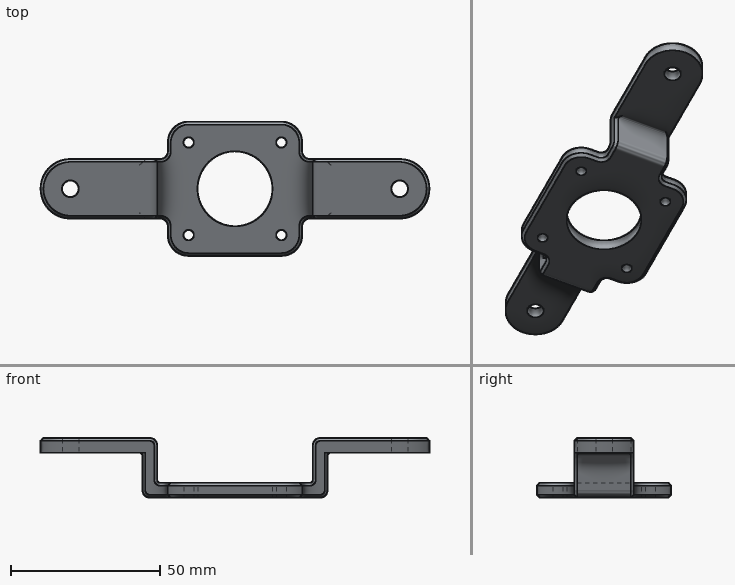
import cadquery as cq

length = 130.2
thickness = 5.0
height = 20.0

plate_side = 45.0
plate_corner_radius = 7.0
bore_diameter = 25.0
screw_spacing = 31.0
screw_hole_diameter = 3.4

arm_width = 20.0
arm_hole_diameter = 5.5
wall_outer_x = 31.0
arm_root_radius = 2.5

outer_bend_radius = 2.5
inner_bend_radius = 1.0
edge_break = 1.0

half_length = length / 2
wall_inner_x = wall_outer_x - thickness
arm_hole_x = half_length - arm_width / 2
arm_underside = height - thickness
half_spacing = screw_spacing / 2


def bend_edges(x, z):
    """Select the pair of bend lines, parallel to Y, at +x and -x."""
    left = cq.selectors.NearestToPointSelector((-x, 0, z))
    right = cq.selectors.NearestToPointSelector((x, 0, z))
    return cq.selectors.SumSelector(left, right)


def hat_profile():
    """Constant-thickness hat section, extruded across the plate width."""
    half = [
        (wall_outer_x, 0),
        (wall_outer_x, arm_underside),
        (half_length, arm_underside),
        (half_length, height),
        (wall_inner_x, height),
        (wall_inner_x, thickness),
    ]
    mirrored = [(-x, z) for x, z in reversed(half)]
    hat = cq.Workplane("XZ").polyline(half + mirrored).close().extrude(plate_side / 2, both=True)
    hat = hat.edges(bend_edges(wall_outer_x, 0)).fillet(outer_bend_radius)
    hat = hat.edges(bend_edges(wall_inner_x, height)).fillet(outer_bend_radius)
    return hat.edges(bend_edges(wall_inner_x, thickness)).fillet(inner_bend_radius)


def plan_outline():
    """Rounded square plate blended into a long round-ended strip, as a tall block."""
    plate = cq.Workplane("XY").rect(plate_side, plate_side).extrude(height)
    plate = plate.edges("|Z").fillet(plate_corner_radius)
    strip = cq.Workplane("XY").slot2D(length, arm_width).extrude(height)
    outline = plate.union(strip)
    for side_x in (-1, 1):
        for side_y in (-1, 1):
            root = (side_x * plate_side / 2, side_y * arm_width / 2, height / 2)
            root_edge = cq.selectors.NearestToPointSelector(root)
            outline = outline.edges(root_edge).fillet(arm_root_radius)
    return outline


def break_edges(body):
    """Chamfer the upper rim all round and the lower rims up to the arm undersides.

    One straight edge starts each rim; the chamfer follows its tangent chain.
    """
    rim_starts = [
        ((arm_hole_x + wall_inner_x) / 2, arm_width / 2, height),
        (0, -plate_side / 2, 0),
        (0, plate_side / 2, 0),
    ]
    for start in rim_starts:
        rim_edge = cq.selectors.NearestToPointSelector(start)
        body = body.edges(rim_edge).chamfer(edge_break)
    return body


def fillet_under_arms(body):
    """Round the inside corners where the walls meet the arm undersides."""
    return body.edges(bend_edges(wall_outer_x, arm_underside)).fillet(inner_bend_radius)


def drill(body, centers, diameter):
    """Cut vertical through holes at the given centres."""
    holes = cq.Workplane("XY").pushPoints(centers).circle(diameter / 2).extrude(height)
    return body.cut(holes)


arm_hole_centers = [(-arm_hole_x, 0), (arm_hole_x, 0)]
screw_centers = [(x, y) for x in (-half_spacing, half_spacing) for y in (-half_spacing, half_spacing)]

bracket = hat_profile().intersect(plan_outline())
bracket = break_edges(bracket)
bracket = fillet_under_arms(bracket)
bracket = drill(bracket, [(0, 0)], bore_diameter)
bracket = drill(bracket, arm_hole_centers, arm_hole_diameter)
result = drill(bracket, screw_centers, screw_hole_diameter)